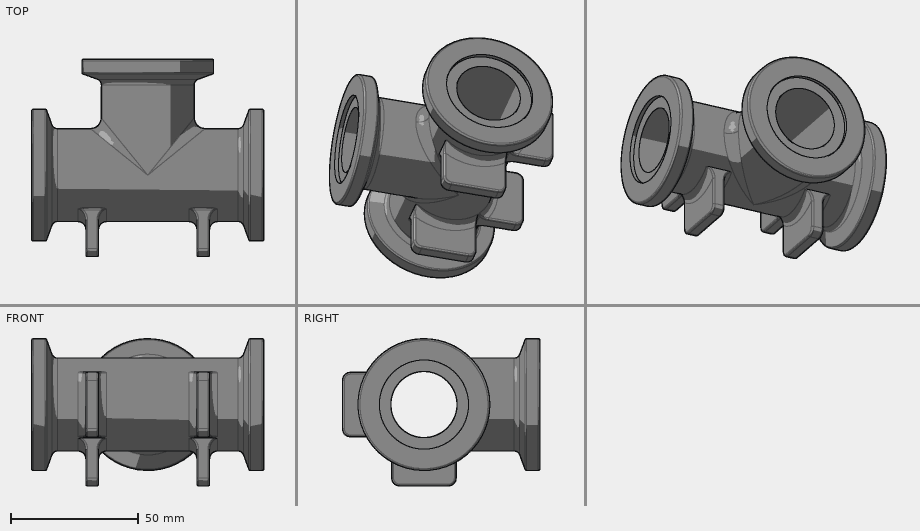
import cadquery as cq
import math

tube_radius = 36.58 / 2
bore_radius = 25.91 / 2
flange_radius = 51.82 / 2
face_distance = 91.19 / 2

rim_width = 5.77
cone_angle = 20.0
rim_rounding = 0.76
neck_rounding = 2.29
recess_radius = 35.05 / 2
recess_depth = 1.6

crotch_radius = 4.2

rib_tip = 77.6 - face_distance
rib_width = 25.4
rib_thickness = 5.08
rib_spacing = 43.6
rib_corner_radius = 3.2
rib_edge_rounding = 0.76
rib_root_radius = 3.05
rib_end_blend = 1.3
rib_foot = 2.0

pick_margin = 0.1

LEFT, RIGHT, BRANCH = 90, -90, 0


def turned(port_shape, angle):
    return port_shape.rotate((0, 0, 0), (0, 0, 1), angle)


def port_body():
    """Solid tube along +Y from the tee centre out to a flange with a conical back."""
    rim_back = face_distance - rim_width
    cone_length = (flange_radius - tube_radius) * math.tan(math.radians(cone_angle))
    neck = (tube_radius, rim_back - cone_length)
    half_section = (
        cq.Sketch()
        .polygon([
            (0, 0),
            (tube_radius, 0),
            neck,
            (flange_radius, rim_back),
            (flange_radius, face_distance),
            (0, face_distance),
            (0, 0),
        ])
        .vertices(">X")
        .fillet(rim_rounding)
        .reset()
        .vertices(cq.selectors.NearestToPointSelector((*neck, 0)))
        .fillet(neck_rounding)
    )
    return cq.Workplane("XY").placeSketch(half_section).revolve(360, (0, 0, 0), (0, 1, 0))


def port_bore():
    """Bore along +Y with its gasket recess at the flange face."""
    return (
        cq.Workplane("XZ")
        .circle(bore_radius)
        .extrude(-face_distance)
        .faces(">Y")
        .workplane()
        .circle(recess_radius)
        .extrude(-recess_depth)
    )


def rib():
    """Rib pointing along -Y at x = 0, its sides flared into the run."""
    half_thickness = rib_thickness / 2
    flare_half = half_thickness + rib_root_radius
    flare_top = tube_radius + rib_root_radius
    arc_inset = rib_root_radius * (1 - math.sqrt(0.5))
    foot_half = flare_half + rib_foot
    foot_radius = bore_radius + rib_foot
    disc_radius = math.hypot(rib_tip, rib_width)
    flared_disc = (
        cq.Workplane("XY")
        .moveTo(0, foot_radius)
        .lineTo(foot_half, foot_radius)
        .lineTo(foot_half, tube_radius)
        .lineTo(flare_half, tube_radius)
        .threePointArc(
            (half_thickness + arc_inset, tube_radius + arc_inset),
            (half_thickness, flare_top),
        )
        .lineTo(half_thickness, disc_radius)
        .lineTo(0, disc_radius)
        .mirrorY()
        .revolve(360, (0, 0, 0), (1, 0, 0))
    )
    outline = (
        cq.Workplane("XY")
        .box(2 * foot_half, rib_tip, rib_width)
        .translate((0, -rib_tip / 2, 0))
        .faces("<Y")
        .edges("|X")
        .fillet(rib_corner_radius)
    )
    return flared_disc.intersect(outline).edges("%BSPLINE").fillet(rib_edge_rounding)


def ribbed_run():
    """Run along X with a rib along -Y and a rib along -Z on each side of the branch."""
    left_rib = rib().translate((-rib_spacing / 2, 0, 0))
    lower_rib = left_rib.mirror("XZ").rotate((0, 0, 0), (1, 0, 0), -90)
    left_half = turned(port_body(), LEFT).union(left_rib).union(lower_rib)
    return left_half.union(left_half.mirror("YZ"))


def add_branch(run):
    """Branch joined to the run and rounded along the ellipses where the tubes meet."""
    tee = run.union(port_body())
    crotch_zone = cq.selectors.BoxSelector(
        (-tube_radius, pick_margin, -tube_radius),
        (tube_radius, tube_radius, tube_radius),
    )
    return tee.edges("%ELLIPSE").edges(crotch_zone).fillet(crotch_radius)


def blend_rib_ends(tee):
    """Round the corners where the flat ends of the -Y ribs meet the run."""
    end_z = rib_width / 2
    end_y = -math.sqrt(tube_radius**2 - end_z**2)
    reach = rib_spacing / 2 + rib_thickness
    for z in (end_z, -end_z):
        end_edges = cq.selectors.BoxSelector(
            (-reach, end_y - pick_margin, z - pick_margin),
            (reach, end_y + pick_margin, z + pick_margin),
        )
        tee = tee.edges("|X").edges(end_edges).fillet(rib_end_blend)
    return tee


result = blend_rib_ends(add_branch(ribbed_run()))
for port_angle in (LEFT, RIGHT, BRANCH):
    result = result.cut(turned(port_bore(), port_angle))